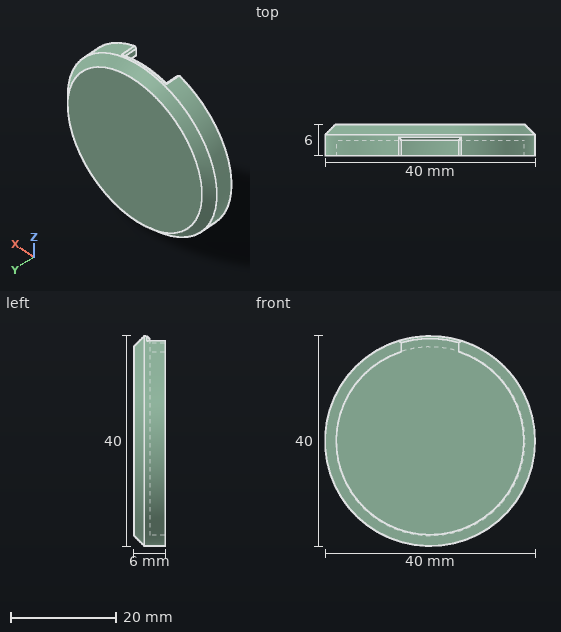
import cadquery as cq

outer_diameter = 40.0
outer_radius = outer_diameter / 2
thickness = 6.0
back_bevel = 2.0

floor_thickness = 3.0
recess_radius = 17.85

notch_width = 11.0
notch_mouth_width = 12.0
notch_chamfer = (notch_mouth_width - notch_width) / 2

front_y = -thickness / 2
recess_depth = thickness - floor_thickness


def cylinder_from_front(radius, depth):
    """Cylinder along +Y that starts on the open face."""
    return cq.Workplane("XZ", origin=(0, front_y, 0)).circle(radius).extrude(-depth)


disc = cylinder_from_front(outer_radius, thickness).faces(">Y").chamfer(back_bevel)

tray = disc.cut(cylinder_from_front(recess_radius, recess_depth))

notch = cq.Workplane("XY").box(
    notch_width, recess_depth, outer_radius, centered=(True, False, False)
).translate((0, front_y, 0))
notched_tray = tray.cut(notch)

middle_wall_radius = (outer_radius + recess_radius) / 2
outer_edge_finder = cq.selectors.BoxSelector(
    (-notch_width, front_y, middle_wall_radius),
    (notch_width, front_y + recess_depth + notch_chamfer, outer_diameter),
)
result = notched_tray.edges(outer_edge_finder).chamfer(notch_chamfer)